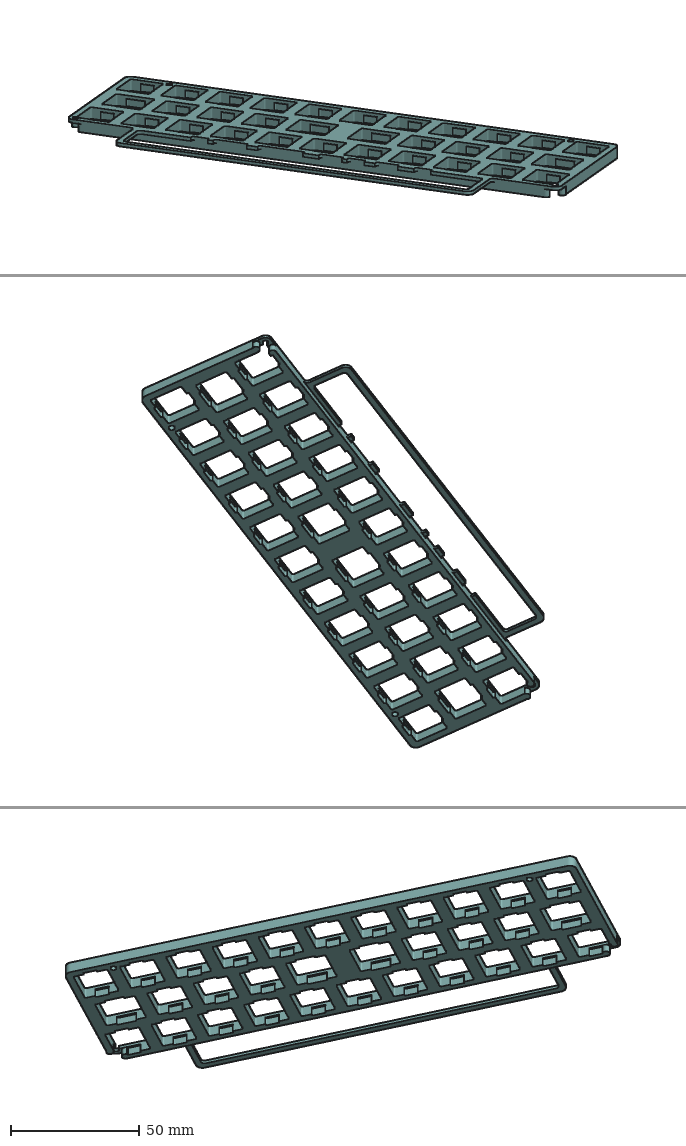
import cadquery as cq

length = 210.7
depth = 77.3
height = 4.8
plate_thickness = 1.5
body_height = height - plate_thickness

rib_bulge = 0.2
key_area_length = length - 2 * rib_bulge
key_area_depth = 58.2
back_y = depth / 2
front_y = back_y - key_area_depth
outer_radius = 2.7

columns = 11
column_span = 190.5
key_pitch = column_span / (columns - 1)
opening_rib = 5.0
opening_size = key_pitch - opening_rib
key_shift = key_pitch / 8
long_opening_size = opening_size + key_shift
opening_radius = 0.6
back_wall = 3.2
back_row_y = back_y - back_wall - opening_size / 2
row_y = [back_row_y - row * key_pitch for row in range(3)]
middle_regular_x = [steps * key_pitch for steps in (1.75, 2.75, 3.75)]
middle_long_x = [0.75 * key_pitch - key_shift / 2, 4.75 * key_pitch + key_shift / 2]

notch_end_margin = 4.2
notch_depth = 0.8
notch_radius = 0.5

frame_columns = 8
frame_length = frame_columns * key_pitch
frame_wall = 2.5
ledge_width = 1.7
frame_opening_length = frame_length - 2 * frame_wall
frame_opening_front_y = -depth / 2 + frame_wall
frame_opening_back_y = front_y - ledge_width
frame_opening_radius = 1.5
junction_radius = 1.5

ledge_gaps = [
    (-51.2, -44.0),
    (-41.7, -27.4),
    (-22.8, -3.4),
    (3.4, 13.3),
    (15.4, 22.8),
    (27.4, 37.0),
    (44.0, 51.2),
]
ledge_gap_radius = 0.6

mount_diameter = 2.3
front_mount_inset = 2.7
back_mount_inset = 3.2
back_mount_x = (column_span - key_pitch) / 2
back_mount_y = back_y - back_mount_inset
front_mount_x = key_area_length / 2 - front_mount_inset
front_mount_y = front_y + front_mount_inset

relief_size = 6.1
rib_end_radius = 1.5


def slab(left, right, front, back, bottom, top):
    """Box given by its limits along X, Y and Z."""
    box = cq.Workplane("XY").box(right - left, back - front, top - bottom, centered=False)
    return box.translate((left, front, bottom))


def opening_cutters(points, size):
    """Through openings and their clip notches, for one opening length."""
    cutters = cq.Workplane("XY").pushPoints(points).rect(size, opening_size).extrude(height)
    cutters = cutters.edges("|Z").fillet(opening_radius)
    notch_length = size - 2 * notch_end_margin
    notch_reach = opening_size + 2 * notch_depth
    notches = cq.Workplane("XY").pushPoints(points).rect(notch_length, notch_reach).extrude(body_height)
    notches = notches.edges("|Z").fillet(notch_radius)
    return cutters, notches


def key_points():
    """Centres of the regular and of the long openings."""
    regular = []
    for column in range(columns):
        x = (column - (columns - 1) / 2) * key_pitch
        regular += [(x, row_y[0]), (x, row_y[2])]
    long = []
    for side in (-1, 1):
        regular += [(side * x, row_y[1]) for x in middle_regular_x]
        long += [(side * x, row_y[1]) for x in middle_long_x]
    return regular, long


def key_area():
    """Full-height slab with rounded corners."""
    half = key_area_length / 2
    return slab(-half, half, front_y, back_y, 0, height).edges("|Z").fillet(outer_radius)


def space_bar_frame():
    """Thin plate in front of the key area; its back end overlaps the key area."""
    half = frame_length / 2
    frame = slab(-half, half, -depth / 2, row_y[2], body_height, height)
    return frame.edges("|Z and <Y").fillet(outer_radius)


def space_bar_opening():
    """Rounded window inside the frame."""
    half = frame_opening_length / 2
    opening = slab(-half, half, frame_opening_front_y, frame_opening_back_y, body_height, height)
    return opening.edges("|Z").fillet(frame_opening_radius)


def junction_fillet(side):
    """Concave fillet of the plate between the key area's front face and the frame."""
    return (
        cq.Workplane("XY", origin=(side * frame_length / 2, front_y, body_height))
        .lineTo(side * junction_radius, 0)
        .radiusArc((0, -junction_radius), -side * junction_radius)
        .close()
        .extrude(plate_thickness)
    )


def ledge_gap(left, right):
    """Cutter from the space bar opening back to the key area's front face."""
    gap = slab(left, right, frame_opening_back_y - ledge_width, front_y, body_height, height)
    return gap.edges("|Z and >Y").fillet(ledge_gap_radius)


def corner_relief(side):
    """Block under the plate that opens the corner around a front mounting hole."""
    center_x = side * (key_area_length - relief_size) / 2
    half = relief_size / 2
    return slab(center_x - half, center_x + half, front_y, front_y + relief_size, 0, body_height)


def rib_end_points(side):
    """Centres of the round rib ends left by a corner relief."""
    side_rib = (side * (length / 2 - rib_end_radius), front_y + relief_size)
    front_rib = (side * (key_area_length / 2 - relief_size), front_y + rib_end_radius)
    return [side_rib, front_rib]


result = key_area().union(space_bar_frame()).cut(space_bar_opening())
for left, right in ledge_gaps:
    result = result.cut(ledge_gap(left, right))

regular_points, long_points = key_points()
for points, size in ((regular_points, opening_size), (long_points, long_opening_size)):
    for cutters in opening_cutters(points, size):
        result = result.cut(cutters)

for side in (-1, 1):
    result = result.union(junction_fillet(side)).cut(corner_relief(side))
    rib_ends = cq.Workplane("XY").pushPoints(rib_end_points(side))
    result = result.union(rib_ends.circle(rib_end_radius).extrude(body_height))

mount_points = []
for side in (-1, 1):
    mount_points += [(side * back_mount_x, back_mount_y), (side * front_mount_x, front_mount_y)]
mount_holes = cq.Workplane("XY").pushPoints(mount_points).circle(mount_diameter / 2).extrude(height)
result = result.cut(mount_holes)